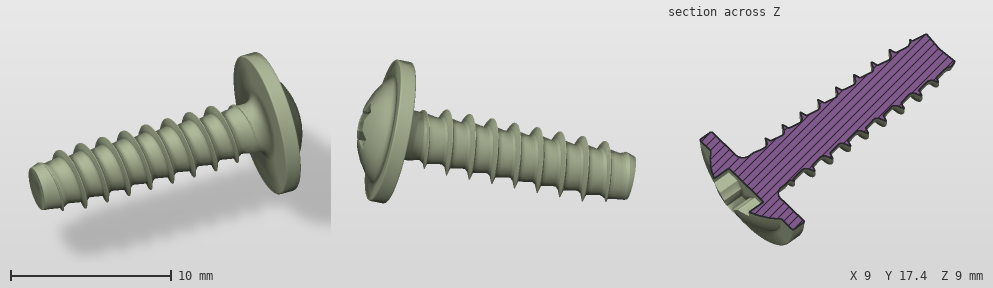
import cadquery as cq
import math


washer_radius = 4.5
washer_thickness = 1.0
washer_edge_fillet = 0.1
dome_base_radius = 3.4
dome_height = 1.52

recess_arm_width = 0.87
recess_arm_reach = 1.66
recess_core_radius = 0.95
recess_floor = -washer_thickness

shank_length = 15.0
neck_radius = 1.57
neck_end = 1.0
neck_taper_end = 1.55
neck_fillet = 0.6
root_radius = 1.42
tip_radius = 1.37
tip_taper_start = 13.7
tip_taper_radius = 1.82
tip_dimple_radius = 1.32
tip_dimple_depth = 0.12

pitch = 1.4616
crest_radius = 2.02
thread_base_radius = 1.56
sunk_crest_height = 0.015
faded_base_radius = root_radius + sunk_crest_height
crest_half_width = 0.02
head_flank_width = 0.2
tip_flank_width = 0.14
ramp_offset = 0.42
overlap_into_root = 0.02
buried_radius = root_radius - overlap_into_root
seam_gap = 0.01
thread_start = 0.763
run_in_turns = 1.25
full_turns = 7.0
run_out_turns = 1.15
tail_turns = 0.75


def make_head():
    """Washer with softened rims and a spherical dome on its outer face."""
    washer = (
        cq.Workplane("XY")
        .circle(washer_radius)
        .extrude(-washer_thickness)
        .edges()
        .fillet(washer_edge_fillet)
    )
    sphere_radius = (dome_base_radius**2 + dome_height**2) / (2 * dome_height)
    apex_z = -washer_thickness - dome_height
    sphere = cq.Workplane("XY").sphere(sphere_radius).translate((0, 0, apex_z + sphere_radius))
    dome_stock = (
        cq.Workplane("XY")
        .workplane(offset=-washer_thickness / 2)
        .circle(dome_base_radius)
        .extrude(-washer_thickness / 2 - dome_height)
    )
    return washer.union(dome_stock.intersect(sphere))


def make_recess():
    """Cutter for a cross with a round core, from its flat floor out past the dome."""
    floor = cq.Workplane("XY").workplane(offset=recess_floor)
    depth = 2 * dome_height
    recess = floor.circle(recess_core_radius).extrude(-depth)
    for length, width in (
        (2 * recess_arm_reach, recess_arm_width),
        (recess_arm_width, 2 * recess_arm_reach),
    ):
        recess = recess.union(floor.rect(length, width).extrude(-depth))
    return recess


def make_core():
    """Neck, filleted under the head, tapering into the root cylinder that runs to the tip."""
    flare_radius = neck_radius + neck_fillet
    diagonal = neck_fillet * (1 - math.sqrt(0.5))
    return (
        cq.Workplane("XZ")
        .moveTo(0, -washer_thickness / 2)
        .lineTo(flare_radius, -washer_thickness / 2)
        .lineTo(flare_radius, 0)
        .threePointArc((neck_radius + diagonal, diagonal), (neck_radius, neck_fillet))
        .lineTo(neck_radius, neck_end)
        .lineTo(root_radius, neck_taper_end)
        .lineTo(root_radius, shank_length)
        .lineTo(0, shank_length)
        .close()
        .revolve(360, (0, 0), (0, 1))
    )


def helix_edge(start, end, turns):
    """Right-hand helix from above +X; start and end are (radius, z), joined evenly."""
    rise = end[1] - start[1]
    base = cq.Vector(0, 0, start[1])
    axis = cq.Vector(0, 0, 1)
    if start[0] == end[0]:
        wire = cq.Wire.makeHelix(rise / turns, rise, start[0], base, axis)
    else:
        half_angle = math.atan2(end[0] - start[0], rise)
        slant_rise = rise / math.cos(half_angle)
        angle = math.degrees(half_angle)
        wire = cq.Wire.makeHelix(slant_rise / turns, slant_rise, start[0], base, axis, angle)
    return wire.Edges()[0]


def thread_section(crest, base, z):
    """(radius, z) corners of the thread: ramp, two flanks with a narrow crest, sloping root.

    The flanks narrow as the crest sinks towards the base, as if the ridge sank into the core.
    """
    height_share = (crest - base) / (crest_radius - thread_base_radius)
    head_side = crest_half_width + head_flank_width * height_share
    tip_side = crest_half_width + tip_flank_width * height_share
    return [
        (buried_radius, z - ramp_offset),
        (base, z - head_side),
        (crest, z - crest_half_width),
        (crest, z + crest_half_width),
        (base, z + tip_side),
        (buried_radius, z - ramp_offset + pitch - seam_gap),
    ]


def thread_stretch(start_crest, start_base, end_crest, end_base, start_turn, turns):
    """Solid thread over some turns, its section going evenly from one end to the other."""
    start_z = thread_start + pitch * start_turn
    start_section = thread_section(start_crest, start_base, start_z)
    end_section = thread_section(end_crest, end_base, start_z + pitch * turns)
    rails = [helix_edge(start, end, turns) for start, end in zip(start_section, end_section)]
    faces = []
    for rail, next_rail in zip(rails, rails[1:] + rails[:1]):
        faces.append(cq.Face.makeRuledSurface(rail, next_rail))
    for end in (0, 1):
        corners = [rail.positionAt(end) for rail in rails]
        faces.append(cq.Face.makeFromWires(cq.Wire.makePolygon(corners, close=True)))
    shell = cq.Shell.makeShell(faces)
    stretch = cq.Workplane("XY").add(cq.Solid.makeSolid(shell).fix())
    return stretch.rotate((0, 0, 0), (0, 0, 1), 360 * start_turn)


def make_thread():
    """Run-in below the head, full thread, run-out, and a tail that fades into the root."""
    full = (crest_radius, thread_base_radius)
    sunk = (thread_base_radius + sunk_crest_height, thread_base_radius)
    faded = (faded_base_radius + sunk_crest_height, faded_base_radius)
    stretches = (
        (sunk, full, run_in_turns),
        (full, full, full_turns),
        (full, sunk, run_out_turns),
        (sunk, faded, tail_turns),
    )
    pieces = []
    start_turn = 0
    for start, end, turns in stretches:
        pieces.append(thread_stretch(*start, *end, start_turn, turns))
        start_turn += turns
    return pieces


def make_tip_trim():
    """Ring that tapers the tip, joined with the shallow cone hollowed into the end face."""
    outer_radius = 2 * crest_radius
    beyond_tip = shank_length + 2 * pitch
    return (
        cq.Workplane("XZ")
        .moveTo(0, shank_length - tip_dimple_depth)
        .lineTo(tip_dimple_radius, shank_length)
        .lineTo(tip_radius, shank_length)
        .lineTo(tip_taper_radius, tip_taper_start)
        .lineTo(outer_radius, tip_taper_start)
        .lineTo(outer_radius, beyond_tip)
        .lineTo(0, beyond_tip)
        .close()
        .revolve(360, (0, 0), (0, 1))
    )


screw = make_core()
for stretch in make_thread():
    screw = screw.union(stretch)
screw = screw.cut(make_tip_trim()).union(make_head()).cut(make_recess())
result = screw.rotate((0, 0, 0), (1, 0, 0), 90)